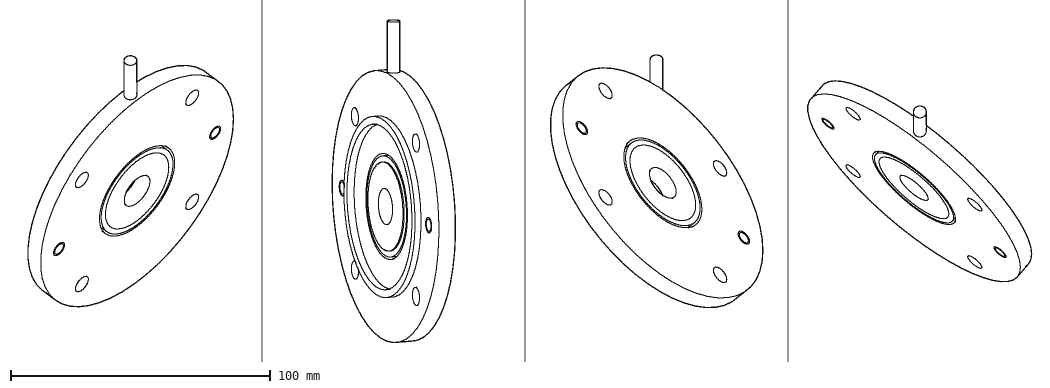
import cadquery as cq
import math

overall_thickness = 9.5
overall_height = 124.9
flange_diameter = 105.0

lip_height = 2.5
lip_diameter = 70.0
recess_diameter = 64.0
recess_depth = 3.0
housing_bore = 41.0

pitch_radius = 42.5
bolt_hole_diameter = 7.0
bolt_angles = [45, 135, 225, 315]
insert_outer_diameter = 6.0
insert_inner_diameter = 4.7
insert_angles = [0, 180]

rotor_diameter = 39.1
hub_diameter = 34.5
hub_bore = 14.0
hub_step = 0.5
ring_front = recess_depth

cable_diameter = 5.0
cable_axis_x = 5.9


def disc(diameter, front, back):
    """Solid cylinder on the X axis, between two X positions."""
    return cq.Workplane("YZ", origin=(front, 0, 0)).circle(diameter / 2).extrude(back - front)


def ring(outer, inner, front, back):
    """Disc with a concentric bore."""
    return disc(outer, front, back).cut(disc(inner, front, back))


def on_pitch_circle(body, angle):
    """Move an axial body out to the pitch circle; angle 0 points along +Y."""
    turn = math.radians(angle)
    return body.translate((0, pitch_radius * math.cos(turn), pitch_radius * math.sin(turn)))


def make_housing():
    flange = disc(flange_diameter, lip_height, overall_thickness)
    body = flange.union(disc(lip_diameter, 0, lip_height))
    body = body.cut(disc(recess_diameter, 0, recess_depth))
    body = body.cut(disc(housing_bore, 0, overall_thickness))
    for angle in bolt_angles:
        body = body.cut(on_pitch_circle(disc(bolt_hole_diameter, 0, overall_thickness), angle))
    for angle in insert_angles:
        body = body.cut(on_pitch_circle(disc(insert_outer_diameter, 0, overall_thickness), angle))
    return body


def make_insert(angle):
    sleeve = ring(insert_outer_diameter, insert_inner_diameter, lip_height, overall_thickness)
    return on_pitch_circle(sleeve, angle)


def make_rotor_ring():
    return ring(rotor_diameter, hub_diameter, ring_front, overall_thickness)


def make_hub():
    return ring(hub_diameter, hub_bore, ring_front - hub_step, overall_thickness)


def make_cable():
    """Cable whose lower end is shaped to sit on the round rim."""
    rim_radius = flange_diameter / 2
    start = rim_radius - cable_diameter / 2
    plane = cq.Workplane("XY", origin=(cable_axis_x, 0, start))
    cable = plane.circle(cable_diameter / 2).extrude(overall_height - rim_radius - start)
    return cable.cut(disc(flange_diameter, 0, overall_thickness))


housing = make_housing()
inserts = [make_insert(angle) for angle in insert_angles]
rotor_ring = make_rotor_ring()
hub = make_hub()
cable = make_cable()

result = cq.Compound.makeCompound([
    housing.val(),
    *[insert.val() for insert in inserts],
    rotor_ring.val(),
    hub.val(),
    cable.val(),
])